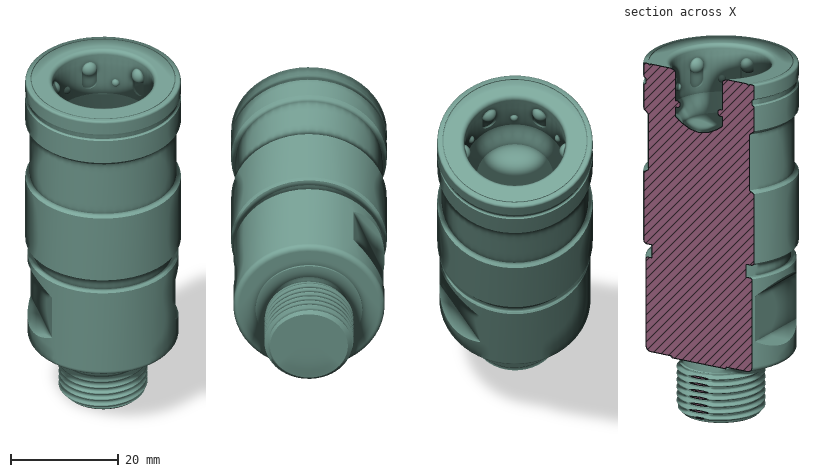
import cadquery as cq
import math

total_height = 69.0
sleeve_radius = 14.5
band_chamfer = 0.4

rim_bottom_z = 66.2
rim_groove_top_z = 65.9
rim_groove_bottom_z = 64.9
rim_groove_radius = 14.1
upper_band_top_z = 64.7
upper_band_bottom_z = 59.8
waist_radius = 13.65
waist_top_z = 59.0
waist_bottom_z = 47.95
grip_top_z = 47.4
grip_bottom_z = 33.2
seam_inner_radius = 13.3
seam_width = 0.2
seam_depth = 0.2

neck_radius = 13.05
body_radius = 14.1
body_top_z = 30.7
body_top_chamfer = 0.3
body_bottom_z = 12.0
body_bottom_fillet = 1.0
flange_radius = 9.95
flange_bottom_z = 11.65
flat_distance = 11.95
flat_top_z = 27.0
flat_bottom_z = 18.0

spigot_radius = 7.45
spigot_end_radius = 7.25
thread_radius = 8.3
thread_clearance = 0.1
thread_top_z = 9.95
thread_half_angle = 27.5
thread_crest_width = 0.15
thread_start_z = -1.2
thread_travel = 12.1
thread_turns = 9
thread_pitch = thread_travel / thread_turns
ridge_root_radius = 7.3

socket_radius = 9.45
socket_mouth_fillet = 0.8
socket_depth = 9.45
floor_radius = 7.2
floor_depth = 12.75

ball_count = 6
ball_radius = 1.5
ball_centre_radius = 9.8
ball_depth = 3.8
slot_travel = 3.0
slot_width = 2.9
slot_floor_radius = 9.8
detent_radius = 0.75
detent_centre_radius = 9.5
detent_depth = 6.9


def turned_body():
    """Outer sleeve, lower body and plain spigot revolved about Z."""
    grip_bottom_radius = sleeve_radius - band_chamfer
    profile = (
        cq.Workplane("XZ")
        .lineTo(spigot_end_radius, 0)
        .lineTo(spigot_radius, spigot_radius - spigot_end_radius)
        .lineTo(spigot_radius, flange_bottom_z)
        .lineTo(flange_radius, flange_bottom_z)
        .lineTo(flange_radius, body_bottom_z)
        .lineTo(body_radius - body_bottom_fillet, body_bottom_z)
        .radiusArc((body_radius, body_bottom_z + body_bottom_fillet), -body_bottom_fillet)
        .lineTo(body_radius, body_top_z - body_top_chamfer)
        .lineTo(body_radius - body_top_chamfer, body_top_z)
        .lineTo(neck_radius, body_top_z)
        .lineTo(neck_radius, grip_bottom_z)
        .lineTo(grip_bottom_radius, grip_bottom_z)
        .lineTo(sleeve_radius, grip_bottom_z + band_chamfer)
        .lineTo(sleeve_radius, grip_top_z)
        .lineTo(waist_radius, waist_bottom_z)
        .lineTo(waist_radius, waist_top_z)
        .lineTo(sleeve_radius, upper_band_bottom_z)
        .lineTo(sleeve_radius, upper_band_top_z)
        .lineTo(rim_groove_radius, rim_groove_bottom_z)
        .lineTo(rim_groove_radius, rim_groove_top_z)
        .lineTo(sleeve_radius, rim_bottom_z)
        .lineTo(sleeve_radius, total_height - band_chamfer)
        .radiusArc((sleeve_radius - band_chamfer, total_height), -band_chamfer)
        .lineTo(0, total_height)
        .close()
    )
    return profile.revolve(360, (0, 0, 0), (0, 1, 0))


def rim_seam():
    """Fine ring groove in the top face."""
    return (
        cq.Workplane("XY", origin=(0, 0, total_height - seam_depth))
        .circle(seam_inner_radius + seam_width)
        .circle(seam_inner_radius)
        .extrude(seam_depth)
    )


def socket():
    """Blind bore with a rounded mouth and a conical bottom."""
    mouth_radius = socket_radius + socket_mouth_fillet
    profile = (
        cq.Workplane("XZ", origin=(0, 0, total_height))
        .lineTo(mouth_radius, 0)
        .radiusArc((socket_radius, -socket_mouth_fillet), -socket_mouth_fillet)
        .lineTo(socket_radius, -socket_depth)
        .lineTo(floor_radius, -floor_depth)
        .lineTo(0, -floor_depth)
        .close()
    )
    return profile.revolve(360, (0, 0, 0), (0, 1, 0))


def wrench_flat():
    """Cutter for the flat on the +Y side, with 45 degree run-outs."""
    reach = sleeve_radius - flat_distance
    return (
        cq.Workplane("YZ")
        .moveTo(flat_distance, flat_bottom_z)
        .lineTo(sleeve_radius, flat_bottom_z - reach)
        .lineTo(sleeve_radius, flat_top_z + reach)
        .lineTo(flat_distance, flat_top_z)
        .close()
        .extrude(sleeve_radius, both=True)
    )


def helical_ridge():
    """V-shaped thread ridge rooted inside the spigot, bounded by ruled faces between four helices."""
    crest_half = thread_crest_width / 2
    flank_rise = (thread_radius - ridge_root_radius) * math.tan(math.radians(thread_half_angle))
    root_half = crest_half + flank_rise
    corners = [
        (ridge_root_radius, -root_half),
        (thread_radius, -crest_half),
        (thread_radius, crest_half),
        (ridge_root_radius, root_half),
    ]
    helices = [
        cq.Wire.makeHelix(thread_pitch, thread_travel, radius, cq.Vector(0, 0, thread_start_z + offset))
        for radius, offset in corners
    ]
    sides = [cq.Face.makeRuledSurface(helices[i - 1], helices[i]) for i in range(len(helices))]
    ends = [
        cq.Face.makeFromWires(cq.Wire.makePolygon([helix.positionAt(end) for helix in helices], close=True))
        for end in (0, 1)
    ]
    shell = cq.Shell.makeShell([face for side in sides for face in side.Faces()] + ends)
    return cq.Workplane(cq.Solid.makeSolid(shell))


def external_thread():
    """Right-hand thread ridge trimmed by 45 degree chamfers at both ends."""
    envelope_radius = thread_radius + thread_clearance
    envelope = (
        cq.Workplane("XZ")
        .lineTo(spigot_end_radius, 0)
        .lineTo(envelope_radius, envelope_radius - spigot_end_radius)
        .lineTo(envelope_radius, thread_top_z - (envelope_radius - spigot_radius))
        .lineTo(spigot_radius, thread_top_z)
        .lineTo(0, thread_top_z)
        .close()
        .revolve(360, (0, 0, 0), (0, 1, 0))
    )
    return helical_ridge().intersect(envelope)


def ball(radius, centre_radius, depth):
    """Ball on the +X side of the socket wall."""
    return cq.Workplane("XY").sphere(radius).translate((centre_radius, 0, total_height - depth))


def ball_slot():
    """Upright round-ended slot in the +X side of the socket wall."""
    middle_z = total_height - ball_depth - slot_travel / 2
    return (
        cq.Workplane("YZ", origin=(0, 0, middle_z))
        .slot2D(slot_travel + slot_width, slot_width, 90)
        .extrude(slot_floor_radius)
    )


def around_axis(shape, angle):
    return shape.rotate((0, 0, 0), (0, 0, 1), angle)


result = turned_body().cut(rim_seam()).cut(socket())

for side in (0, 180):
    result = result.cut(around_axis(wrench_flat(), side))

ball_spacing = 360 / ball_count
for index in range(ball_count):
    ball_angle = index * ball_spacing
    detent_angle = ball_angle + ball_spacing / 2
    result = result.cut(around_axis(ball_slot(), ball_angle))
    result = result.union(around_axis(ball(ball_radius, ball_centre_radius, ball_depth), ball_angle))
    result = result.union(around_axis(ball(detent_radius, detent_centre_radius, detent_depth), detent_angle))

result = result.union(external_thread())